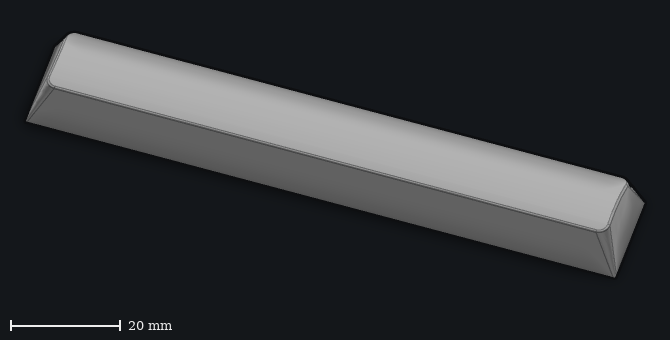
import cadquery as cq
import math

length = 113.4
width = 18.1
height = 9.0

crown_radius = 35.1
crest_y = -3.7
rim_fillet = 0.5

end_lean = 3.1
front_lean = 3.4
back_lean = 0.5

base_corner_radius = 0.5
top_corner_radius = 2.3

upper_front_y = -width / 2 + front_lean
upper_back_y = width / 2 - back_lean
tangent_y = (upper_front_y + upper_back_y) / 2
tilt = math.asin((tangent_y - crest_y) / crown_radius)
crown_axis_z = height - crown_radius
tangent_z = crown_axis_z + crown_radius * math.cos(tilt)
upper_depth = (upper_back_y - upper_front_y) / math.cos(tilt)


def rounded_rectangle(size_x, size_y, corner_radius):
    return cq.Sketch().rect(size_x, size_y).vertices().fillet(corner_radius)


def tapered_block():
    """Leaning walls between the flat base and the tilted upper outline."""
    base = rounded_rectangle(length, width, base_corner_radius)
    upper = rounded_rectangle(length - 2 * end_lean, upper_depth, top_corner_radius)
    upper_place = cq.Location(
        cq.Vector(0, tangent_y, tangent_z),
        cq.Vector(1, 0, 0),
        -math.degrees(tilt),
    )
    return cq.Workplane("XY").placeSketch(base, upper.moved(upper_place)).loft(ruled=True)


def crown():
    """Cylinder whose upper side shapes the top of the part."""
    return (
        cq.Workplane("YZ")
        .center(crest_y, crown_axis_z)
        .circle(crown_radius)
        .extrude(length / 2, both=True)
    )


body = tapered_block().intersect(crown())

result = body.faces(">Z").edges().fillet(rim_fillet)